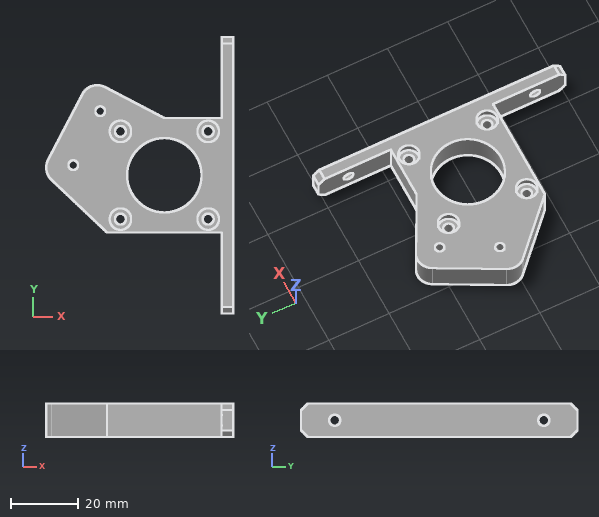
import cadquery as cq

thickness = 10.0
motor_width = 34.0
bore_diameter = 22.0
screw_spacing = 26.0
screw_diameter = 3.2
screw_head_diameter = 6.4
screw_head_depth = 3.0

flange_length = 82.0
flange_thickness = 3.5
flange_chamfer = 2.0
flange_hole_spacing = 62.0
flange_hole_diameter = 3.2

arm_root_x = 0.0
arm_upper_corner = (-22.0, 28.5)
arm_lower_corner = (-36.24, 1.25)
arm_corner_radius = 5.0
arm_hole_centers = [(-19.0, 19.0), (-27.0, 3.0)]
arm_hole_diameter = 2.8

half_width = motor_width / 2


def make_plate():
    """Motor plate and slanted arm, with the two free arm corners rounded."""
    plate = (
        cq.Workplane("XY")
        .moveTo(half_width, -half_width)
        .lineTo(half_width, half_width)
        .lineTo(arm_root_x, half_width)
        .lineTo(*arm_upper_corner)
        .lineTo(*arm_lower_corner)
        .lineTo(-half_width, -half_width)
        .close()
        .extrude(thickness)
    )
    for corner_x, corner_y in (arm_upper_corner, arm_lower_corner):
        corner = cq.selectors.NearestToPointSelector((corner_x, corner_y, thickness / 2))
        plate = plate.edges("|Z").edges(corner).fillet(arm_corner_radius)
    return plate


def make_flange():
    """Upright strip with chamfered ends and a mounting hole near each end."""
    strip = (
        cq.Workplane("XY")
        .box(flange_thickness, flange_length, thickness, centered=(False, True, False))
        .edges("|X")
        .chamfer(flange_chamfer)
    )
    holes = (
        cq.Workplane("YZ")
        .pushPoints([(side * flange_hole_spacing / 2, thickness / 2) for side in (-1, 1)])
        .circle(flange_hole_diameter / 2)
        .extrude(flange_thickness)
    )
    return strip.cut(holes).translate((half_width, 0, 0))


def cut_motor_holes(body):
    """Central bore and four screw holes counterbored from the top."""
    top = body.faces(">Z").workplane(origin=(0, 0, thickness))
    body = top.hole(bore_diameter)
    top = body.faces(">Z").workplane(origin=(0, 0, thickness))
    return top.rarray(screw_spacing, screw_spacing, 2, 2).cboreHole(
        screw_diameter, screw_head_diameter, screw_head_depth
    )


def cut_arm_holes(body):
    """Two plain through holes in the slanted arm."""
    top = body.faces(">Z").workplane(origin=(0, 0, thickness))
    return top.pushPoints(arm_hole_centers).hole(arm_hole_diameter)


body = make_plate().union(make_flange())
body = cut_motor_holes(body)
result = cut_arm_holes(body)